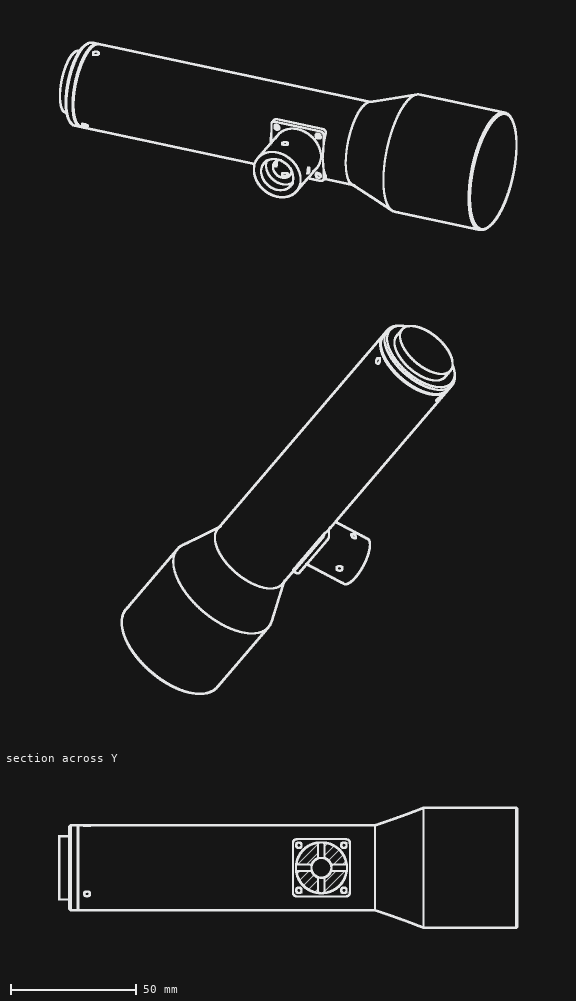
import cadquery as cq

tip_diameter = 25.4
tip_length = 4.0
body_diameter = 34.0
cap_end = 7.6
cap_chamfer = 0.75
seam_depth = 0.25
taper_start = 126.2
head_start = 145.6
head_diameter = 48.0
head_chamfer = 0.5
total_length = 183.11

screw_x = 11.2
screw_diameter = 2.4
screw_depth = 3.0
screw_count = 3
screw_first_angle = 8.0

port_x = 104.8
flange_width = 22.8
flange_corner_radius = 1.5
flange_back = 13.8
flange_face = 16.0
flange_hole_spacing = 18.0
flange_hole_diameter = 2.2
port_diameter = 20.4
port_end = 36.49
socket_diameter = 14.0
socket_depth = 5.0
bore_diameter = 8.0
cross_hole_diameter = 2.4
cross_hole_y = -28.6

tip_radius = tip_diameter / 2
body_radius = body_diameter / 2
head_radius = head_diameter / 2


def make_body():
    """Revolve the stepped, tapered body about the X axis."""
    profile = [
        (0, 0),
        (0, tip_radius),
        (tip_length, tip_radius),
        (tip_length, body_radius - cap_chamfer),
        (tip_length + cap_chamfer, body_radius),
        (cap_end - seam_depth, body_radius),
        (cap_end, body_radius - seam_depth),
        (cap_end + seam_depth, body_radius),
        (taper_start, body_radius),
        (head_start, head_radius),
        (total_length - head_chamfer, head_radius),
        (total_length, head_radius - head_chamfer),
        (total_length, 0),
    ]
    return cq.Workplane("XY").polyline(profile).close().revolve(360, (0, 0, 0), (1, 0, 0))


def port_plane(distance):
    """Workplane centred on the port axis, at a distance from the body axis, facing -Y."""
    return cq.Workplane("XZ", origin=(port_x, -distance, 0))


def flange_block(start, end):
    """Rounded square block spanning two distances from the body axis."""
    block = port_plane(start).rect(flange_width, flange_width).extrude(end - start)
    return block.edges("|Y").fillet(flange_corner_radius)


def outside_barrel(drill):
    """Trim a drill so that it stops on the cylindrical surface of the body."""
    barrel = cq.Workplane("YZ").circle(body_radius).extrude(total_length)
    return drill.cut(barrel)


def add_port(body):
    """Let the flange into the body, then add the tube and its bores."""
    body = body.cut(flange_block(flange_back, body_radius))
    body = body.union(flange_block(flange_back, flange_face))
    tube = port_plane(flange_back).circle(port_diameter / 2).extrude(port_end - flange_back)
    body = body.union(tube)

    socket_floor = port_end - socket_depth
    socket = port_plane(socket_floor).circle(socket_diameter / 2).extrude(socket_depth)
    bore = port_plane(0).circle(bore_diameter / 2).extrude(port_end)
    return body.cut(socket).cut(outside_barrel(bore))


def cut_flange_holes(body):
    """Four mounting holes through the flange, ending on the body surface."""
    holes = (
        port_plane(0)
        .rect(flange_hole_spacing, flange_hole_spacing, forConstruction=True)
        .vertices()
        .circle(flange_hole_diameter / 2)
        .extrude(flange_face)
    )
    return body.cut(outside_barrel(holes))


def cut_cross_holes(body):
    """Cross-drill the tube along X and along Z."""
    along_x = cq.Workplane("YZ", origin=(port_x, cross_hole_y, 0))
    along_z = cq.Workplane("XY", origin=(port_x, cross_hole_y, 0))
    for plane in (along_x, along_z):
        drill = plane.circle(cross_hole_diameter / 2).extrude(port_diameter, both=True)
        body = body.cut(drill)
    return body


def cut_screw_holes(body):
    """Blind radial holes, evenly spaced about the X axis from near +Z towards -Y."""
    drill = (
        cq.Workplane("XY", origin=(screw_x, 0, body_radius - screw_depth))
        .circle(screw_diameter / 2)
        .extrude(2 * screw_depth)
    )
    for index in range(screw_count):
        angle = screw_first_angle + index * 360 / screw_count
        body = body.cut(drill.rotate((0, 0, 0), (1, 0, 0), angle))
    return body


result = make_body()
result = add_port(result)
result = cut_flange_holes(result)
result = cut_cross_holes(result)
result = cut_screw_holes(result)